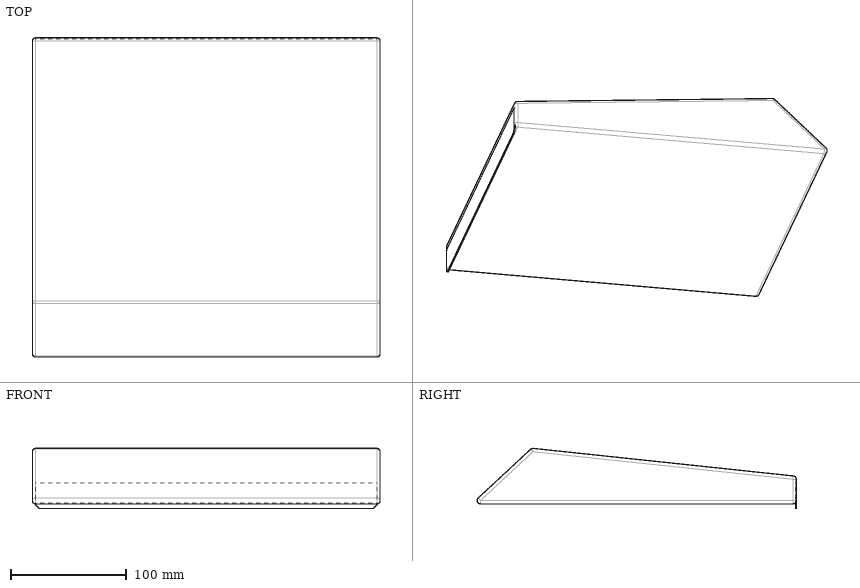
import cadquery as cq

width = 300.0
profile_depth = 280.0
peak_height = 48.2
rear_height = 24.0
front_slope_run = 51.77
edge_radius = 3.0

panel_thickness = 1.0
panel_lip_drop = 4.0
panel_corner_chamfer = 3.0
panel_width = width - 2 * edge_radius
panel_top = rear_height - 2 * edge_radius
panel_height = panel_top + panel_lip_drop

front_y = -profile_depth / 2
rear_y = profile_depth / 2


def make_wedge():
    """Wedge extruded along X with every edge rounded."""
    profile = [
        (front_y, 0),
        (rear_y, 0),
        (rear_y, rear_height),
        (front_y + front_slope_run, peak_height),
    ]
    wedge = cq.Workplane("YZ").polyline(profile).close().extrude(width / 2, both=True)
    return wedge.edges().fillet(edge_radius)


def make_rear_panel():
    """Upright plate with chamfered lower corners, flush with the rear face."""
    plate = cq.Workplane("XY").box(panel_width, panel_thickness, panel_height)
    plate = plate.faces("<Z").edges("|Y").chamfer(panel_corner_chamfer)
    return plate.translate((0, rear_y - panel_thickness / 2, panel_top - panel_height / 2))


rear_panel = make_rear_panel()
housing = make_wedge().cut(rear_panel)

result = cq.Compound.makeCompound([housing.solids().val(), rear_panel.solids().val()])